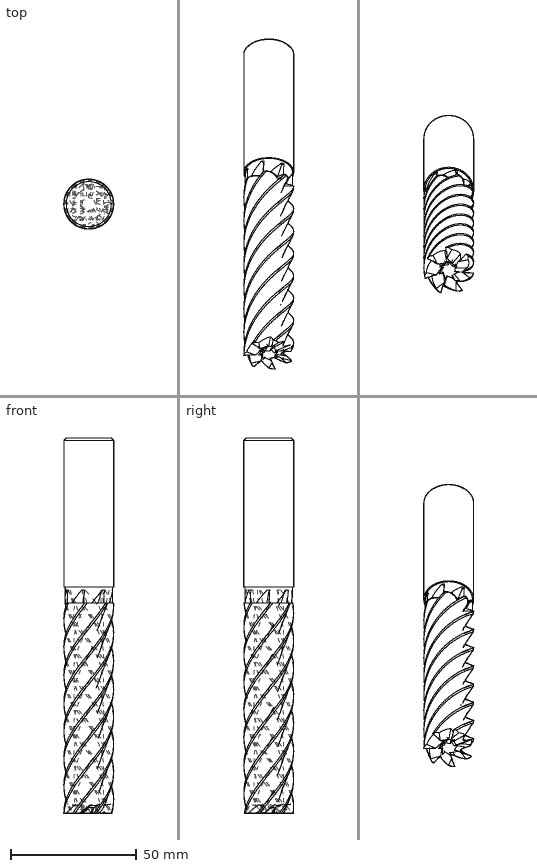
import cadquery as cq
import math

tool_length = 150.0
cutting_diameter = 20.0
cutting_radius = cutting_diameter / 2

shank_radius = cutting_radius
shank_chamfer = 1.0
neck_radius = 9.5
neck_bottom = 84.0
neck_top = 90.4

flute_count = 7
tooth_pitch = 360 / flute_count
flute_lead = 77.5
top_edge_angle = 260.6
flute_twist = 360 * neck_bottom / flute_lead
bottom_edge_angle = top_edge_angle - flute_twist

land_width_angle = 6.0
land_end_radius = 9.9
back_middle_angle = 22.0
back_middle_radius = 8.3
back_end_angle = 40.0
back_end_radius = 6.4
floor_middle_angle = 47.0
floor_end_angle = 52.5
floor_end_radius = 6.9
core_radius = 6.0

runout_top = 89.3
runout_outer_radius = cutting_radius + 1.0
runout_floor_radius = 7.0
runout_floor_angle = 10.0
runout_width_angle = 42.0
runout_tip_floor_radius = 8.2
runout_tip_floor_angle = 2.0
runout_tip_width_angle = 12.0

gash_depth = 4.2
gash_lean = 3.0
gash_width = 3.8
gash_inner_depth = 2.4
gash_inner_width = 2.2
end_relief_flare = 1.75
gash_inner_radius = 2.5
gash_outer_radius = cutting_radius + 1.0


def polar(radius, angle):
    """Point in the XY plane at a radius and an angle in degrees."""
    return (radius * math.cos(math.radians(angle)), radius * math.sin(math.radians(angle)))


def make_shank():
    """Round shank with a chamfered end and a slightly thinner neck."""
    neck = cq.Workplane("XY").workplane(offset=neck_bottom).circle(neck_radius).extrude(neck_top - neck_bottom)
    grip = (
        cq.Workplane("XY")
        .workplane(offset=neck_top)
        .circle(shank_radius)
        .extrude(tool_length - neck_top)
        .faces(">Z")
        .chamfer(shank_chamfer)
    )
    return neck.union(grip)


def make_runout(edge_angle):
    """Tapering pocket that carries one flute out through the neck surface."""
    bottom_corners = [
        polar(runout_outer_radius, edge_angle),
        polar(runout_floor_radius, edge_angle - runout_floor_angle),
        polar(runout_outer_radius, edge_angle - runout_width_angle),
    ]
    tip_corners = [
        polar(runout_outer_radius, edge_angle),
        polar(runout_tip_floor_radius, edge_angle - runout_tip_floor_angle),
        polar(runout_outer_radius, edge_angle - runout_tip_width_angle),
    ]
    return (
        cq.Workplane("XY")
        .workplane(offset=neck_bottom)
        .polyline(bottom_corners)
        .close()
        .workplane(offset=runout_top - neck_bottom)
        .polyline(tip_corners)
        .close()
        .loft(ruled=True)
    )


def make_fluted_body():
    """Section of equal teeth, twisted along the tool axis."""
    section = cq.Workplane("XY").moveTo(*polar(cutting_radius, bottom_edge_angle))
    for tooth in range(flute_count):
        edge = bottom_edge_angle + tooth * tooth_pitch
        section = (
            section
            .lineTo(*polar(land_end_radius, edge + land_width_angle))
            .threePointArc(
                polar(back_middle_radius, edge + back_middle_angle),
                polar(back_end_radius, edge + back_end_angle),
            )
            .threePointArc(
                polar(core_radius, edge + floor_middle_angle),
                polar(floor_end_radius, edge + floor_end_angle),
            )
        )
        if tooth < flute_count - 1:
            section = section.lineTo(*polar(cutting_radius, edge + tooth_pitch))
    return section.close().twistExtrude(neck_bottom, flute_twist)


def gash_profile(width, depth):
    """Corners of the notch beside the cutting edge, leaning with the helix."""
    lean = gash_lean * depth / gash_depth
    return [(0, 0), (lean, depth), (lean - width, depth), (-width * end_relief_flare, 0)]


def make_gash(edge_angle):
    """Notch in the tool end in front of one end tooth, smaller toward the axis."""
    return (
        cq.Workplane("YZ", origin=(gash_inner_radius, 0, 0))
        .polyline(gash_profile(gash_inner_width, gash_inner_depth))
        .close()
        .workplane(offset=gash_outer_radius - gash_inner_radius)
        .polyline(gash_profile(gash_width, gash_depth))
        .close()
        .loft(ruled=True)
        .rotate((0, 0, 0), (0, 0, 1), edge_angle)
    )


shank = make_shank()
cutter = make_fluted_body()
for tooth in range(flute_count):
    tooth_angle = tooth * tooth_pitch
    shank = shank.cut(make_runout(top_edge_angle + tooth_angle))
    cutter = cutter.cut(make_gash(bottom_edge_angle + tooth_angle))

result = cq.Compound.makeCompound([shank.val(), cutter.val()])